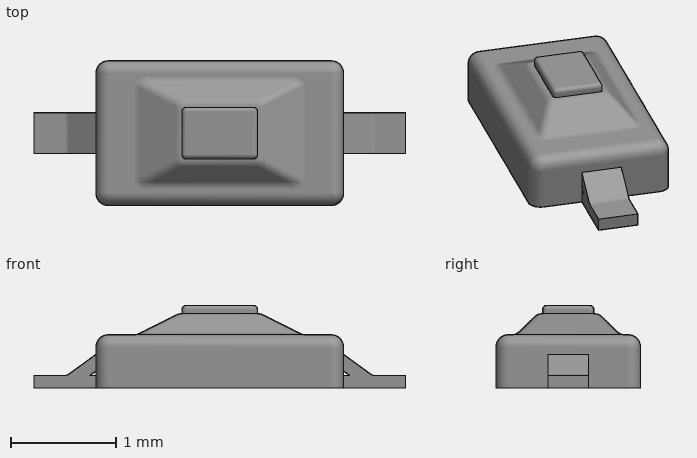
import cadquery as cq
import math

body_length = 2.36
body_width = 1.38
body_height = 0.508
body_radius = 0.12

pyramid_base_length = 1.58
pyramid_base_width = 0.99
pyramid_top_length = 0.78
pyramid_top_width = 0.58
pyramid_height = 0.20
pyramid_radius = 0.10
foot_margin = 0.01

button_length = 0.72
button_width = 0.49
button_radius = 0.04
overall_height = 0.787

lead_span = 3.54
lead_width = 0.39
lead_thickness = 0.12
strip_thickness = 0.13
bend_from_tip = 0.315
bend_radius = 0.07
strip_angle = math.radians(36)
lead_embed = 0.10


def make_body():
    body = cq.Workplane("XY").box(body_length, body_width, body_height, centered=(True, True, False))
    return body.edges("|Z").fillet(body_radius).faces(">Z").edges().fillet(body_radius)


def trapezoid_prism(plane, base, top, depth):
    """Symmetric trapezoid standing on the housing, extruded both ways across its plane."""
    return (
        cq.Workplane(plane)
        .moveTo(-base / 2, body_height)
        .lineTo(base / 2, body_height)
        .lineTo(top / 2, body_height + pyramid_height)
        .lineTo(-top / 2, body_height + pyramid_height)
        .close()
        .extrude(depth / 2, both=True)
    )


def make_pyramid():
    lengthwise = trapezoid_prism("XZ", pyramid_base_length, pyramid_top_length, pyramid_base_width)
    crosswise = trapezoid_prism("YZ", pyramid_base_width, pyramid_top_width, pyramid_base_length)
    return lengthwise.intersect(crosswise).edges("not <Z").fillet(pyramid_radius)


def add_pyramid(body):
    """Join the pyramid to the housing and blend its foot into the housing top."""
    joined = body.union(make_pyramid())
    reach_x = pyramid_base_length / 2 + foot_margin
    reach_y = pyramid_base_width / 2 + foot_margin
    foot = cq.selectors.BoxSelector(
        (-reach_x, -reach_y, body_height - foot_margin),
        (reach_x, reach_y, body_height + foot_margin),
        boundingbox=True,
    )
    return joined.edges(foot).fillet(pyramid_radius)


def make_button():
    bottom = body_height + pyramid_height / 2
    button = (
        cq.Workplane("XY", origin=(0, 0, bottom))
        .box(button_length, button_width, overall_height - bottom, centered=(True, True, False))
    )
    return button.edges("|Z").fillet(button_radius).faces(">Z").edges().fillet(button_radius)


def make_left_lead():
    tip_x = -lead_span / 2
    bend_x = tip_x + bend_from_tip
    inner_x = -body_length / 2 + lead_embed
    slope = math.tan(strip_angle)
    strip_drop = strip_thickness / math.cos(strip_angle)

    strip_top = lead_thickness + (inner_x - bend_x) * slope
    underside_x = bend_x + strip_drop / slope

    profile = (
        cq.Workplane("XZ")
        .moveTo(tip_x, 0)
        .lineTo(inner_x, 0)
        .lineTo(inner_x, lead_thickness)
        .lineTo(underside_x, lead_thickness)
        .lineTo(inner_x, strip_top - strip_drop)
        .lineTo(inner_x, strip_top)
        .lineTo(bend_x, lead_thickness)
        .lineTo(tip_x, lead_thickness)
        .close()
    )
    lead = profile.extrude(lead_width / 2, both=True)
    bend_edge = cq.selectors.NearestToPointSelector((bend_x, 0, lead_thickness))
    return lead.edges("|Y").edges(bend_edge).fillet(bend_radius)


left_lead = make_left_lead()
right_lead = left_lead.mirror("YZ")

result = add_pyramid(make_body()).union(make_button()).union(left_lead).union(right_lead)